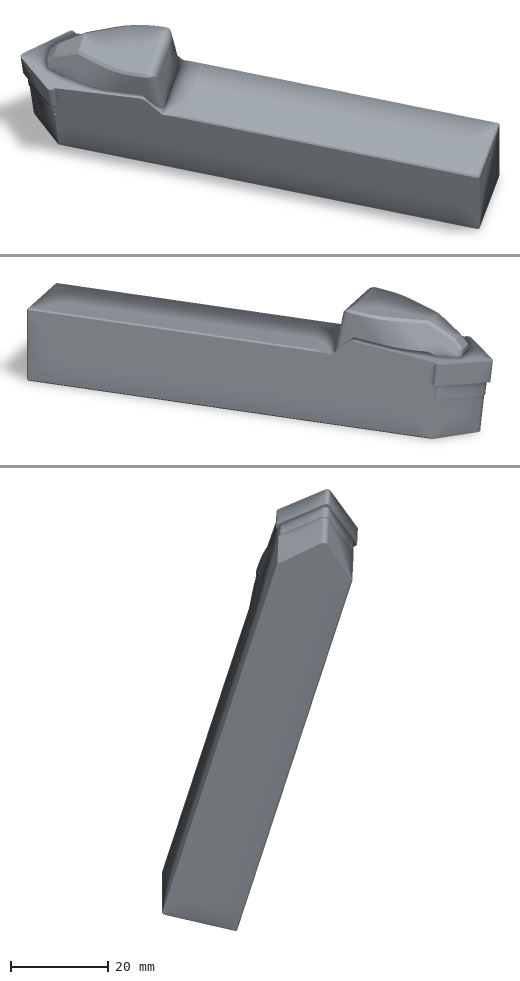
import cadquery as cq
import math

LENGTH = 100.0
SHANK = 16.0
EDGE_CHAMFER = 0.3
TILT = 6.4
PEAK_X = 28.4
PEAK_FILLET = 2.0
VALLEY_X = 32.5
SHANK_TOP_X = 36.7

INSERT_SIDE = 12.7
INSERT_THICKNESS = 4.8
INSERT_CORNER = 0.8
SHIM_SIDE = 11.7
SHIM_THICKNESS = 3.2
SHIM_CORNER = 1.1
SHIM_OVERHANG = 0.2

NOSE_X = 6.0
NOSE_TOP_Z = 18.2
BREAK_X = 7.6
BREAK_Z = 20.2
RIDGE_X = 13.0
CLAMP_HEIGHT = 6.3
HEEL_TOP_X = 30.4
HEEL_FOOT_X = 32.4
HEEL_TOP_FILLET = 2.0
HEEL_CORNER_FILLET = 1.8
PAD_END_X = 10.5
BRIDGE_X = 12.3
BRIDGE_GAP = 0.7
CLAMP_CHAMFER = 0.5

CLAMP_WIDTH = 14.8
RIDGE_WIDTH = 5.9
FLANK_ANGLE = 26.6
FLANK_ARC_END_X = 25.8
FLANK_LEAN = 42.5

tilt = math.radians(TILT)
corner_loss = math.sqrt(2) - 1
insert_center = INSERT_SIDE / math.sqrt(2) - INSERT_CORNER * corner_loss
valley_z = SHANK - (SHANK_TOP_X - VALLEY_X) * math.tan(tilt)
reach = 2 * SHANK

seat = cq.Plane(
    origin=(0, 0, SHANK),
    xDir=(math.cos(tilt), 0, math.sin(tilt)),
    normal=(-math.sin(tilt), 0, math.cos(tilt)),
)
along_seat_normal = cq.selectors.ParallelDirSelector(seat.zDir)


def seat_z(x, offset=0.0):
    """Height at x of the plane lying the given distance above the seat plane."""
    return SHANK + x * math.tan(tilt) + offset / math.cos(tilt)


peak_z = seat_z(PEAK_X)
ramp_slope = (valley_z - peak_z) / (VALLEY_X - PEAK_X)


def ramp_z(x):
    """Height at x of the ramp between peak and valley, extended both ways."""
    return peak_z + ramp_slope * (x - PEAK_X)


def square_plate(side, thickness, depth):
    """Sharp square plate on its diagonal, its top the given depth below the seat plane."""
    half_diagonal = side / math.sqrt(2)
    return (
        cq.Workplane(seat)
        .workplane(offset=-depth)
        .center(insert_center, 0)
        .polyline([(-half_diagonal, 0), (0, -half_diagonal), (half_diagonal, 0), (0, half_diagonal)])
        .close()
        .extrude(-thickness)
    )


def make_insert():
    plate = square_plate(INSERT_SIDE, INSERT_THICKNESS, 0)
    return plate.edges(along_seat_normal).fillet(INSERT_CORNER)


def make_bar():
    """Full-length bar with chamfered shank edges, raised head, ramp and valley."""
    bar = (
        cq.Workplane("XZ")
        .polyline([
            (0, 0),
            (LENGTH, 0),
            (LENGTH, SHANK),
            (SHANK_TOP_X, SHANK),
            (VALLEY_X, valley_z),
            (PEAK_X, peak_z),
            (0, SHANK),
        ])
        .close()
        .extrude(SHANK / 2, both=True)
    )
    bar = bar.edges(cq.selectors.NearestToPointSelector((PEAK_X, 0, peak_z))).fillet(PEAK_FILLET)
    shank_edges = bar.faces(">X").edges().add(bar.faces("<Z").edges("|X"))
    top_point = ((SHANK_TOP_X + LENGTH) / 2, 0, SHANK)
    top_face = bar.faces(cq.selectors.NearestToPointSelector(top_point))
    return bar.newObject(shank_edges.add(top_face.edges("|X")).vals()).chamfer(EDGE_CHAMFER)


def make_wedge():
    """Right-angled wedge, just behind the shim tip, that gives the bar its pointed front."""
    tip = insert_center - SHIM_SIDE / math.sqrt(2) + SHIM_OVERHANG
    wedge = (
        cq.Workplane(seat)
        .workplane(offset=-reach)
        .polyline([
            (tip, 0),
            (tip + SHANK, -SHANK),
            (LENGTH + reach, -SHANK),
            (LENGTH + reach, SHANK),
            (tip + SHANK, SHANK),
        ])
        .close()
        .extrude(2 * reach)
    )
    tip_point = seat.toWorldCoords((tip, 0, 0))
    return wedge.edges(cq.selectors.NearestToPointSelector(tip_point)).fillet(SHIM_CORNER)


def make_shim():
    plate = square_plate(SHIM_SIDE, SHIM_THICKNESS, INSERT_THICKNESS)
    return plate.edges(along_seat_normal).fillet(SHIM_CORNER)


def make_shim_side_pockets():
    """Sharp-cornered room in the holder around the two side corners of the shim."""
    side_strip = (
        cq.Workplane(seat)
        .center(insert_center, 0)
        .rect(SHIM_SIDE / 2, 2 * SHANK)
        .extrude(-reach)
    )
    return square_plate(SHIM_SIDE, SHIM_THICKNESS, INSERT_THICKNESS).intersect(side_strip)


def make_clamp_profile():
    """Side profile of the clamp, over its full width."""
    bridge_end_x = PEAK_X - BRIDGE_GAP / math.cos(tilt) / (math.tan(tilt) - ramp_slope)
    return (
        cq.Workplane("XZ")
        .polyline([
            (NOSE_X, seat_z(NOSE_X)),
            (PAD_END_X, seat_z(PAD_END_X)),
            (BRIDGE_X, seat_z(BRIDGE_X, BRIDGE_GAP)),
            (bridge_end_x, seat_z(bridge_end_x, BRIDGE_GAP)),
            (HEEL_FOOT_X, ramp_z(HEEL_FOOT_X)),
            (HEEL_TOP_X, seat_z(HEEL_TOP_X, CLAMP_HEIGHT)),
            (RIDGE_X, seat_z(RIDGE_X, CLAMP_HEIGHT)),
            (BREAK_X, BREAK_Z),
            (NOSE_X, NOSE_TOP_Z),
        ])
        .close()
        .extrude(CLAMP_WIDTH / 2, both=True)
    )


def make_clamp_outline():
    """Tapered outline, level with the ridge, swept obliquely along the flank rulings."""
    half_width = CLAMP_WIDTH / 2
    half_ridge = RIDGE_WIDTH / 2
    flank = math.radians(FLANK_ANGLE)
    front_x = RIDGE_X - half_ridge / math.tan(flank)
    corner_x = RIDGE_X + (half_width - half_ridge) / math.tan(flank)
    tangent = FLANK_ARC_END_X - corner_x
    arc_start = (corner_x - tangent * math.cos(flank), half_width - tangent * math.sin(flank))
    radius = tangent / math.tan(flank / 2)
    arc_middle = (
        FLANK_ARC_END_X - radius * math.sin(flank / 2),
        half_width - radius * (1 - math.cos(flank / 2)),
    )
    outline = (
        cq.Workplane("XY")
        .moveTo(front_x, 0)
        .lineTo(*arc_start)
        .threePointArc(arc_middle, (FLANK_ARC_END_X, half_width))
        .lineTo(LENGTH, half_width)
        .lineTo(LENGTH, -half_width)
        .lineTo(FLANK_ARC_END_X, -half_width)
        .threePointArc((arc_middle[0], -arc_middle[1]), (arc_start[0], -arc_start[1]))
        .close()
    )
    ridge_z = seat_z(RIDGE_X, CLAMP_HEIGHT)
    lean = math.tan(math.radians(FLANK_LEAN))
    below = outline.val().moved(cq.Location(cq.Vector(-reach * lean, 0, ridge_z - reach)))
    sweep = cq.Vector(2 * reach * lean, 0, 2 * reach)
    return cq.Workplane(cq.Solid.extrudeLinear(below, [], sweep))


def nearest_edge(body, x, y, z):
    return body.edges(cq.selectors.NearestToPointSelector((x, y, z)))


def make_clamp():
    """Clamp with rounded heel and chamfered top and nose edges."""
    profile = make_clamp_profile()
    heel_x = (HEEL_FOOT_X + HEEL_TOP_X) / 2
    heel_top_z = seat_z(HEEL_TOP_X, CLAMP_HEIGHT)
    heel_z = (ramp_z(HEEL_FOOT_X) + heel_top_z) / 2
    round_top = nearest_edge(profile, HEEL_TOP_X, 0, heel_top_z).fillet(HEEL_TOP_FILLET)
    round_corners = profile
    for side in (-1, 1):
        corner = nearest_edge(round_corners, heel_x, side * CLAMP_WIDTH / 2, heel_z)
        round_corners = corner.fillet(HEEL_CORNER_FILLET)
    clamp = round_corners.intersect(make_clamp_outline())

    top_x = (RIDGE_X + HEEL_TOP_X) / 2
    top_point = (top_x, 0, seat_z(top_x, CLAMP_HEIGHT))
    top_edges = clamp.faces(cq.selectors.NearestToPointSelector(top_point)).edges("not |Y")
    nose_box = cq.selectors.BoxSelector(
        (0, -RIDGE_WIDTH / 2, SHANK),
        (RIDGE_X, RIDGE_WIDTH / 2, heel_top_z),
    )
    nose_edges = clamp.edges("not |Y").edges(nose_box)
    return top_edges.add(nose_edges).chamfer(CLAMP_CHAMFER).intersect(round_top)


insert = make_insert()
holder = (
    make_bar()
    .intersect(make_wedge())
    .cut(make_shim_side_pockets())
    .cut(insert)
    .union(make_shim())
    .union(make_clamp())
)

result = cq.Compound.makeCompound([holder.val(), insert.val()])